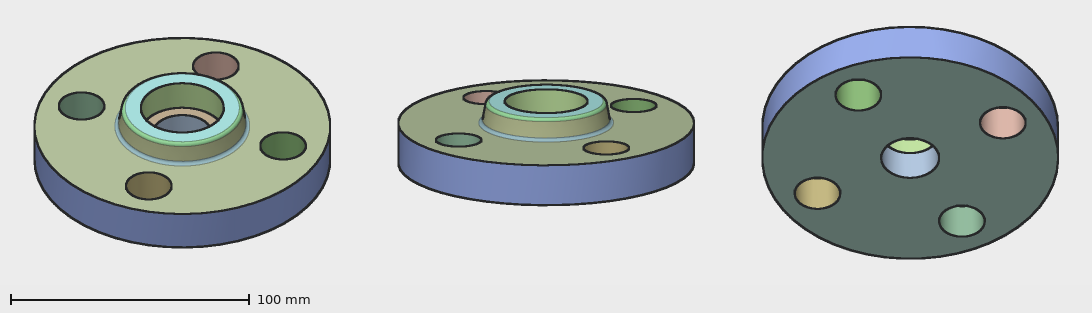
import cadquery as cq

flange_diameter = 123.9
flange_thickness = 17.5
overall_height = 26.9

hub_base_diameter = 53.8
hub_taper_angle = 10.0
hub_fillet_radius = 1.6
hub_height = overall_height - flange_thickness

bore_diameter = 24.3
socket_diameter = 34.7
socket_depth = 12.8

bolt_hole_count = 4
bolt_hole_diameter = 19.1
bolt_circle_diameter = 88.9


def make_flange():
    return cq.Workplane("XY").circle(flange_diameter / 2).extrude(flange_thickness)


def add_hub(flange):
    """Add the tapered hub, then round its upper rim and its root on the flange face."""
    base_radius = hub_base_diameter / 2
    body = (
        flange.faces(">Z")
        .workplane()
        .circle(base_radius)
        .extrude(hub_height, taper=hub_taper_angle)
    )
    rim = body.faces(">Z").edges().vals()
    root = body.edges(cq.selectors.RadiusNthSelector(1)).vals()
    return body.newObject(rim + root).fillet(hub_fillet_radius)


def cut_centre_bore(body):
    return body.faces(">Z").workplane().cboreHole(bore_diameter, socket_diameter, socket_depth)


def cut_bolt_holes(body):
    return (
        body.faces("<Z")
        .workplane()
        .polarArray(bolt_circle_diameter / 2, 0, 360, bolt_hole_count)
        .hole(bolt_hole_diameter)
    )


result = cut_bolt_holes(cut_centre_bore(add_hub(make_flange())))